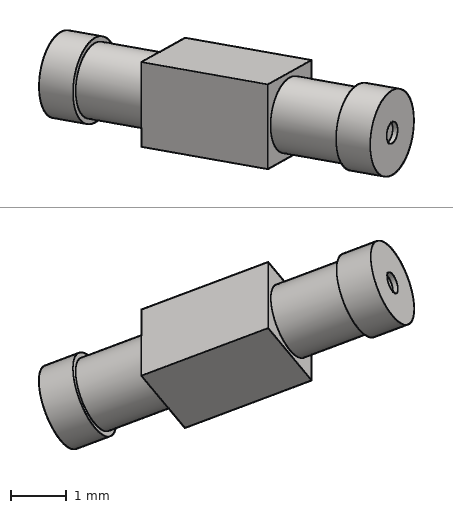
import cadquery as cq

total_length = 6.8
body_length = 2.6
body_width = 1.6
collar_length = 0.7
collar_diameter = body_width
stem_diameter = 1.4
hole_diameter = 0.4
hole_depth = 0.1

half_length = total_length / 2


def cylinder_along_x(diameter, start, length):
    """Solid cylinder on the X axis, running toward +X from start."""
    return cq.Workplane("YZ").workplane(offset=start).circle(diameter / 2).extrude(length)


body = cq.Workplane("XY").box(body_length, body_width, body_width)

result = body.union(cylinder_along_x(stem_diameter, -half_length, total_length))

for collar_start in (-half_length, half_length - collar_length):
    result = result.union(cylinder_along_x(collar_diameter, collar_start, collar_length))

for hole_start in (-half_length, half_length - hole_depth):
    result = result.cut(cylinder_along_x(hole_diameter, hole_start, hole_depth))